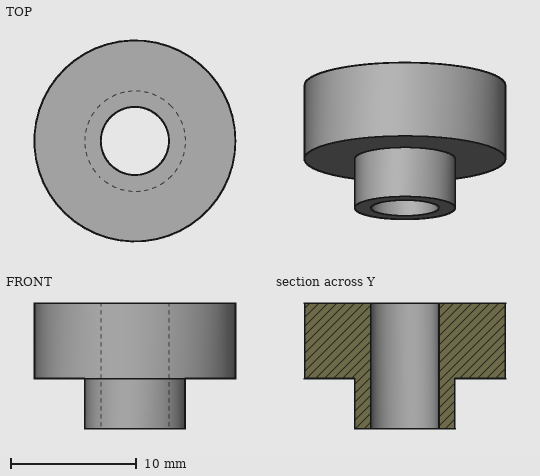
import cadquery as cq

head_diameter = 16.0
head_height = 6.0
neck_diameter = 8.0
neck_height = 4.0
bore_diameter = 5.4


def make_neck():
    """Narrow cylinder standing on the XY plane."""
    return cq.Workplane("XY").circle(neck_diameter / 2).extrude(neck_height)


def add_head(body):
    """Wide cylinder on top of the neck."""
    return body.faces(">Z").workplane().circle(head_diameter / 2).extrude(head_height)


def cut_bore(body):
    """Axial hole through head and neck."""
    return body.faces(">Z").workplane().hole(bore_diameter)


result = cut_bore(add_head(make_neck()))